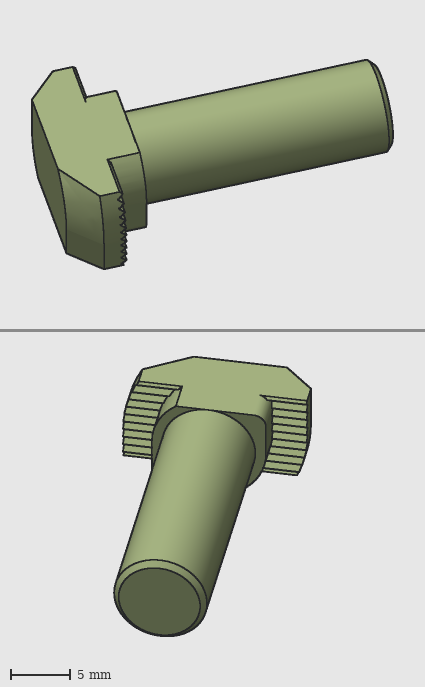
import cadquery as cq
import math

total_length = 29.2
head_width = 15.8
thickness = 8.0
bevel = 2.57
tooth_crest = 4.55
tooth_depth = 0.47
tooth_count = 10
first_valley_drop = 0.6
neck_top = 7.15
neck_radius = 4.9
neck_corner_radius = 1.05
tip_chamfer = 0.5

rim_radius = 9.7
left_face_radius = 5.3
right_face_radius = 5.8
left_arc_start = 0.0
right_arc_start = -0.88

half_height = thickness / 2
tooth_pitch = thickness / tooth_count


def inset(radius, rise):
    """Sideways drift of a tangent arc after the given rise."""
    return radius - math.sqrt(radius**2 - rise**2)


def head_outline(y, half_width, left_radius, right_radius):
    """Head section at height y, rounded at lower left and upper right."""
    left_rise = left_arc_start + half_height
    right_rise = half_height - right_arc_start
    left_mid = left_rise / 2
    right_mid = right_rise / 2
    return (
        cq.Workplane("XZ", origin=(0, y, 0))
        .moveTo(-half_width, half_height)
        .lineTo(-half_width, left_arc_start)
        .threePointArc(
            (-half_width + inset(left_radius, left_mid), left_arc_start - left_mid),
            (-half_width + inset(left_radius, left_rise), -half_height),
        )
        .lineTo(half_width, -half_height)
        .lineTo(half_width, right_arc_start)
        .threePointArc(
            (half_width - inset(right_radius, right_mid), right_arc_start + right_mid),
            (half_width - inset(right_radius, right_rise), half_height),
        )
        .close()
    )


def make_head():
    rim = head_outline(bevel, head_width / 2, rim_radius, rim_radius)
    face = head_outline(0, head_width / 2 - bevel, left_face_radius, right_face_radius)
    bevelled = cq.Solid.makeLoft([face.val(), rim.val()], True)
    return rim.extrude(bevel - tooth_crest).union(cq.Workplane(bevelled))


def cut_teeth(head):
    """V grooves along X, evenly spaced; the first one only clips the top edge."""
    first_valley = half_height - first_valley_drop
    for index in range(-1, tooth_count):
        valley = first_valley - index * tooth_pitch
        groove = (
            cq.Workplane("YZ")
            .moveTo(tooth_crest - tooth_depth, valley)
            .lineTo(tooth_crest, valley + tooth_pitch / 2)
            .lineTo(tooth_crest, valley - tooth_pitch / 2)
            .close()
            .extrude(head_width, both=True)
        )
        head = head.cut(groove)
    return head


def make_neck():
    """Neck with two large round corners and two small ones, on opposite diagonals."""
    flat_end = math.sqrt(neck_radius**2 - half_height**2)
    small_start = neck_radius - neck_corner_radius
    corner_z = half_height - neck_corner_radius
    diagonal = neck_corner_radius * math.sqrt(0.5)
    small_mid = (small_start + diagonal, corner_z + diagonal)
    large_angle = math.asin(half_height / neck_radius) / 2
    large_mid = (neck_radius * math.cos(large_angle), neck_radius * math.sin(large_angle))
    return (
        cq.Workplane("XZ")
        .moveTo(flat_end, half_height)
        .lineTo(-small_start, half_height)
        .threePointArc((-small_mid[0], small_mid[1]), (-neck_radius, corner_z))
        .lineTo(-neck_radius, 0)
        .threePointArc((-large_mid[0], -large_mid[1]), (-flat_end, -half_height))
        .lineTo(small_start, -half_height)
        .threePointArc((small_mid[0], -small_mid[1]), (neck_radius, -corner_z))
        .lineTo(neck_radius, 0)
        .threePointArc(large_mid, (flat_end, half_height))
        .close()
        .extrude(-neck_top)
        .intersect(cq.Workplane().box(head_width, neck_top - bevel, thickness)
                   .translate((0, (neck_top + bevel) / 2, 0)))
    )


def make_shank():
    return (
        cq.Workplane("XZ", origin=(0, bevel, 0))
        .circle(thickness / 2)
        .extrude(bevel - total_length)
        .faces(">Y")
        .chamfer(tip_chamfer)
    )


result = cut_teeth(make_head()).union(make_neck()).union(make_shank())